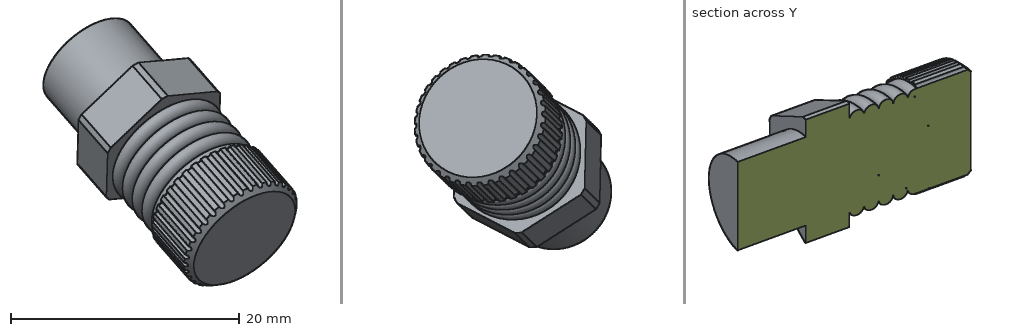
import cadquery as cq
import math

plain_end_length = 7.0
hex_length = 4.5
total_length = 24.0
knob_start = 18.4

plain_end_radius = 4.85

across_flats = 12.0
hex_corner_radius = 6.75
hex_tilt = -1.34

ring_pitch = 1.5
ring_count = 5
ring_crest_radius = 5.75

knob_radius = 6.0
knob_chamfer = 0.6
groove_count = 36
groove_radius = 0.25

hex_end = plain_end_length + hex_length


def plane_across_x(x):
    """Workplane normal to X, with its local x along +Z."""
    return cq.Workplane(cq.Plane(origin=(x, 0, 0), xDir=(0, 0, 1), normal=(1, 0, 0)))


def cylinder(start, end, radius):
    return plane_across_x(start).circle(radius).extrude(end - start)


def hex_collar():
    corner_distance = across_flats / math.cos(math.pi / 6)
    hexagon = (
        plane_across_x(plain_end_length)
        .polygon(6, corner_distance)
        .extrude(hex_length)
        .rotate((0, 0, 0), (1, 0, 0), hex_tilt)
    )
    return hexagon.intersect(cylinder(plain_end_length, hex_end, hex_corner_radius))


def ringed_neck():
    """Revolve a row of touching semicircular crests, ending inside the knob."""
    valley_radius = ring_crest_radius - ring_pitch / 2
    profile = cq.Workplane("XZ").moveTo(hex_end, 0).lineTo(hex_end, valley_radius)
    for index in range(ring_count):
        ring_start = hex_end + index * ring_pitch
        crest = (ring_start + ring_pitch / 2, ring_crest_radius)
        profile = profile.threePointArc(crest, (ring_start + ring_pitch, valley_radius))
    neck_end = hex_end + ring_count * ring_pitch
    return profile.lineTo(neck_end, 0).close().revolve(360, (0, 0), (1, 0))


def knob():
    blank = cylinder(knob_start, total_length, knob_radius).faces(">X").chamfer(knob_chamfer)
    grooves = (
        plane_across_x(knob_start)
        .polarArray(knob_radius, 0, 360, groove_count)
        .circle(groove_radius)
        .extrude(total_length - knob_start)
    )
    return blank.cut(grooves)


plain_end = cylinder(0, plain_end_length, plain_end_radius)
result = plain_end.union(hex_collar()).union(ringed_neck()).union(knob())